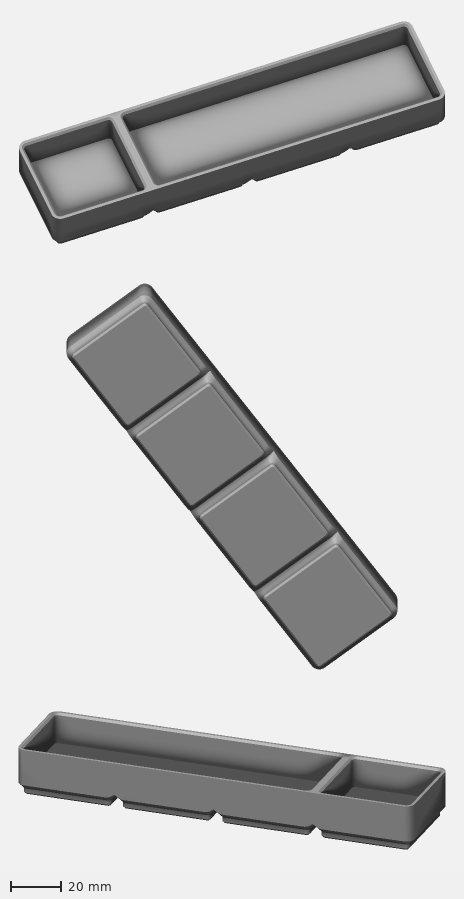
import cadquery as cq
import math

LENGTH = 167.5
WIDTH = 41.5
HEIGHT = 20.0
CORNER_RADIUS = 3.7
CELL_COUNT = 4
CELL_PITCH = (LENGTH - WIDTH) / (CELL_COUNT - 1)
FLARE_ANGLE = -45

FOOT_CHAMFER = 0.75
FOOT_STRAIGHT = 1.8
FOOT_INSET = 2.2
FOOT_WIDTH = WIDTH - 2 * FOOT_INSET
FOOT_RADIUS = CORNER_RADIUS - FOOT_INSET
FLARE_BASE = FOOT_CHAMFER + FOOT_STRAIGHT

CONE_REACH_X = CORNER_RADIUS
CONE_REACH_Y = CELL_PITCH / 2 - (FOOT_WIDTH / 2 - FOOT_RADIUS)
FLARE_HEIGHT = math.hypot(CONE_REACH_X, CONE_REACH_Y) - FOOT_RADIUS
FLARE_TOP = FLARE_BASE + FLARE_HEIGHT

FLOOR_Z = 7.0
WALL = 2.0
DIVIDER = 4.5
RIM_CHAMFER = 0.8
POCKET_RADIUS = 1.59
POCKET_WIDTH = WIDTH - 2 * WALL
POCKET_FRONT_Y = -LENGTH / 2 + WALL
POCKET_BACK_Y = LENGTH / 2 - WALL
DIVIDER_Y = -LENGTH / 2 + (WIDTH + CELL_PITCH) / 2


def rounded_outline(width, length, radius):
    """Rectangle with rounded corners, centred on the origin."""
    return cq.Sketch().rect(width, length).vertices().fillet(radius)


def prism(outline, bottom, height, taper=0):
    """Outline raised from the given Z; a negative taper widens it upwards."""
    return cq.Workplane("XY").workplane(offset=bottom).placeSketch(outline).extrude(height, taper=taper)


def make_foot():
    """Foot of one cell, its flare cut off at the boundaries to the neighbouring cells."""
    base_width = FOOT_WIDTH - 2 * FOOT_CHAMFER
    base = rounded_outline(base_width, base_width, FOOT_RADIUS - FOOT_CHAMFER)
    waist = rounded_outline(FOOT_WIDTH, FOOT_WIDTH, FOOT_RADIUS)
    foot = prism(base, 0, FOOT_CHAMFER, taper=FLARE_ANGLE)
    foot = foot.union(prism(waist, FOOT_CHAMFER, FOOT_STRAIGHT))
    foot = foot.union(prism(waist, FLARE_BASE, FLARE_HEIGHT, taper=FLARE_ANGLE))
    return foot.intersect(cq.Workplane("XY").box(CELL_PITCH, CELL_PITCH, 2 * FLARE_TOP))


def make_body():
    """Solid body with all its feet, trimmed to the rounded outer outline."""
    outline = rounded_outline(WIDTH, LENGTH, CORNER_RADIUS)
    body = prism(outline, FLARE_TOP, HEIGHT - FLARE_TOP)
    foot = make_foot()
    for index in range(CELL_COUNT):
        center_y = (index - (CELL_COUNT - 1) / 2) * CELL_PITCH
        body = body.union(foot.translate((0, center_y, 0)))
    return body.intersect(prism(outline, 0, HEIGHT))


def make_pocket(front_y, back_y):
    """Compartment between two Y positions, opening upwards through a chamfered rim."""
    outline = rounded_outline(POCKET_WIDTH, back_y - front_y, POCKET_RADIUS)
    pocket = prism(outline, FLOOR_Z, HEIGHT - FLOOR_Z)
    pocket = pocket.union(prism(outline, HEIGHT - RIM_CHAMFER, RIM_CHAMFER, taper=FLARE_ANGLE))
    return pocket.translate((0, (front_y + back_y) / 2, 0))


result = make_body()
result = result.cut(make_pocket(POCKET_FRONT_Y, DIVIDER_Y - DIVIDER / 2))
result = result.cut(make_pocket(DIVIDER_Y + DIVIDER / 2, POCKET_BACK_Y))